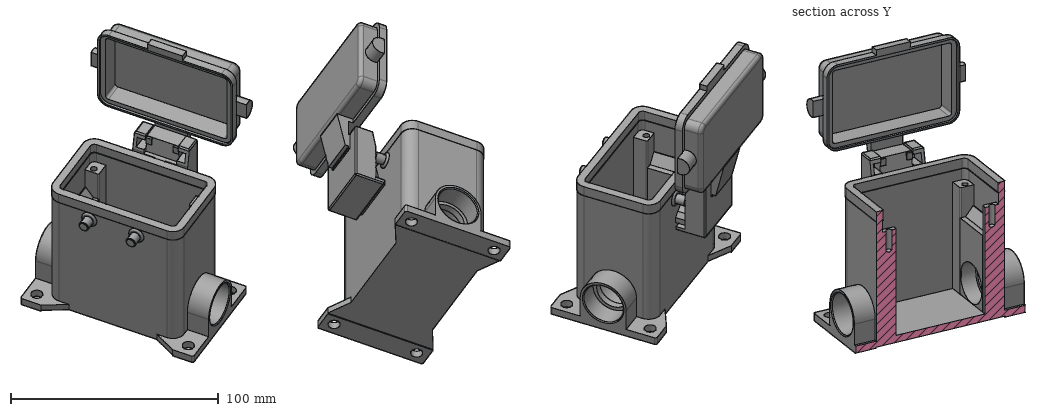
import cadquery as cq

HOUSING_X = 70.6
HOUSING_Y = 43.9
HOUSING_BOTTOM = 0.5
HOUSING_TOP = 73.2
HOUSING_CORNER = 6.2
WALL = 3.9
FLOOR = 4.0
RIM_HEIGHT = 5.5
RIM_LIP = 0.1
CAVITY_CORNER = 2.1
CAVITY_RELIEF = 0.4

POST_SIDE = 7.1
POST_TOP = 61.5
POST_HOLE_X = 28.4
POST_HOLE_Y = 13.5
POST_HOLE_DIAMETER = 3.1
POST_HOLE_DEPTH = 10.7
POST_HOLE_TIP = 1.0
POST_EDGE = 0.8
POST_OVERLAP = 1.1
BLOCK_SLOPE_TOP = 50.4
BLOCK_LEDGE = 45.5
BLOCK_SLOPE_X = 4.1

FOOT_LENGTH = 93.5
FOOT_WIDTH = 57.0
FOOT_THICKNESS = 4.0
FOOT_PAD_INNER = 35.6
FOOT_TIP_X = 23.7
FOOT_EDGE = 1.1
FOOT_HOLE_X = 40.9
FOOT_HOLE_Y = 22.3
FOOT_HOLE_DIAMETER = 5.8

ENTRY_Z = 15.2
ENTRY_RADIUS = 12.3
ENTRY_BORE_RADIUS = 8.7
ENTRY_SOCKET_RADIUS = 10.5
ENTRY_CHAMFER = 0.5
ENTRY_WEB_OUTER = 36.1
ENTRY_WEB_INNER = 32.6

PIN_X = 12.7
PIN_Z = 63.5
PIN_RADIUS = 2.5
PIN_TIP_Y = 28.4
PIN_TIP_CHAMFER = 0.4
COLLAR_RADIUS = 4.0
COLLAR_HEIGHT = 1.1
COLLAR_EDGE = 1.0

LID_Z = 107.8
LID_FRONT = 33.5
LID_BACK = 46.8
LID_X = 68.7
LID_Z_SIZE = 41.2
LID_CORNER = 4.0
LID_BACK_EDGE = 2.0
LID_RIM_DEPTH = 4.0
LID_RIM_WIDTH = 2.1
LID_RIM_HEIGHT = 2.4
LID_RIM_CORNER = 6.0
LID_LIP = 1.0
LID_SEAT_DEPTH = 1.3
LID_CAVITY_X = 65.5
LID_CAVITY_Z = 39.0
LID_CAVITY_CORNER = 1.5
LID_CAVITY_BACK = 44.8
TAB_WIDTH = 18.9
TAB_TOP = 133.8
LUG_RADIUS = 4.7
LUG_LENGTH = 83.9
LUG_BACK = 43.9

ARM_WIDTH = 17.7
ARM_BOTTOM = 68.6
ARM_ROOT_BACK = 46.1
ARM_TIP_BACK = 41.7
ARM_FRONT = 39.9
BRACKET_WIDTH = 29.7
BRACKET_BACK = 39.2
BRACKET_TOP = 77.8
BRACKET_BOTTOM = 45.9
BRACKET_TOP_FRONT = 30.1
BRACKET_FRONT = 28.2
BRACKET_SLOPE_END = 68.2
BRACKET_TOE = 23.5
BRACKET_EDGE = 0.7
EAR_WALL = 1.7
EAR_ROOF = 2.7
EAR_FLOOR = 69.8
EAR_DEPTH_END = 36.1
HOOK_TOP = 76.5
HOOK_TOP_FRONT = 31.5
HOOK_BOTTOM_FRONT = 30.4
HOOK_TOOTH_WIDTH = 3.0
HOOK_TOOTH_TOP = 76.2
HOOK_TOOTH_BOTTOM = 72.5
STEM_TOP = 67.4
STEM_BOTTOM = 48.2
STEM_HALF_TOP = 2.7
STEM_HALF_NECK = 5.1
STEM_NECK_Z = 59.1
STEM_HALF_FLARE = 9.9
STEM_FLARE_Z = 53.5
STEM_HALF_BASE = 12.0
STEM_BASE_Z = 51.1
STEM_CURVE_SAG = 0.7

SIDES = (1, -1)
CAVITY_X = HOUSING_X - 2 * WALL
CAVITY_Y = HOUSING_Y - 2 * WALL
RIM_BOTTOM = HOUSING_TOP - RIM_HEIGHT
CAVITY_FLOOR = HOUSING_BOTTOM + FLOOR


def box(x, y, z):
    """Box given by its (low, high) limits along each axis."""
    return cq.Workplane("XY").box(
        x[1] - x[0], y[1] - y[0], z[1] - z[0], centered=False
    ).translate((x[0], y[0], z[0]))


def rounded_block(length, width, bottom, top, corner):
    """Upright block centred on Z with rounded vertical edges."""
    block = cq.Workplane("XY").workplane(offset=bottom).rect(length, width).extrude(top - bottom)
    return block.edges("|Z").fillet(corner)


def lid_block(length, height, front, back, corner):
    """Block centred on the lid with edges along Y rounded."""
    plane = cq.Workplane("XZ", origin=(0, front, LID_Z))
    return plane.rect(length, height).extrude(front - back).edges("|Y").fillet(corner)


def both_sides(solid, plane):
    """The solid together with its mirror image in the given plane."""
    return solid.union(solid.mirror(plane))


def housing_shell():
    """Solid outside of the housing, with a slightly wider rim."""
    lower = rounded_block(HOUSING_X, HOUSING_Y, HOUSING_BOTTOM, RIM_BOTTOM, HOUSING_CORNER)
    rim = rounded_block(
        HOUSING_X + 2 * RIM_LIP,
        HOUSING_Y + 2 * RIM_LIP,
        RIM_BOTTOM,
        HOUSING_TOP,
        HOUSING_CORNER,
    )
    return lower.union(rim)


def foot():
    """Foot at +X: a thick pad, and two tapering wings that run back along the housing."""
    half_width = FOOT_WIDTH / 2
    half_length = FOOT_LENGTH / 2
    pad = box((FOOT_PAD_INNER, half_length), (-half_width, half_width), (0, FOOT_THICKNESS))
    pad = pad.edges("|Z and >X").fillet(FOOT_EDGE)
    wings = (
        cq.Workplane("XY")
        .workplane(offset=HOUSING_BOTTOM)
        .moveTo(FOOT_TIP_X, -HOUSING_Y / 2)
        .lineTo(FOOT_PAD_INNER, -half_width)
        .lineTo(FOOT_PAD_INNER, half_width)
        .lineTo(FOOT_TIP_X, HOUSING_Y / 2)
        .close()
        .extrude(FOOT_THICKNESS - HOUSING_BOTTOM)
    )
    holes = (
        cq.Workplane("XY")
        .pushPoints([(FOOT_HOLE_X, side * FOOT_HOLE_Y) for side in SIDES])
        .circle(FOOT_HOLE_DIAMETER / 2)
        .extrude(FOOT_THICKNESS)
    )
    return pad.union(wings).cut(holes)


def entry():
    """Round-topped cable entry from the +X wall to the end of the foot."""
    start = HOUSING_X / 2 - WALL
    end = FOOT_LENGTH / 2
    tube = cq.Workplane("YZ", origin=(start, 0, ENTRY_Z)).circle(ENTRY_RADIUS).extrude(end - start)
    return tube.union(box((start, end), (-ENTRY_RADIUS, ENTRY_RADIUS), (HOUSING_BOTTOM, ENTRY_Z)))


def entry_bore():
    """Bore of the +X cable entry: a socket on either side of a narrower web, open to the cavity."""
    end = FOOT_LENGTH / 2
    bore = cq.Workplane("YZ", origin=(0, 0, ENTRY_Z)).circle(ENTRY_BORE_RADIUS).extrude(end)
    outer_socket = (
        cq.Workplane("YZ", origin=(ENTRY_WEB_OUTER, 0, ENTRY_Z))
        .circle(ENTRY_SOCKET_RADIUS)
        .extrude(end - ENTRY_WEB_OUTER)
    )
    inner_socket = (
        cq.Workplane("YZ", origin=(0, 0, ENTRY_Z)).circle(ENTRY_SOCKET_RADIUS).extrude(ENTRY_WEB_INNER)
    )
    mouth = (
        cq.Workplane("YZ", origin=(end, 0, ENTRY_Z))
        .circle(ENTRY_SOCKET_RADIUS + ENTRY_CHAMFER)
        .workplane(offset=-ENTRY_CHAMFER)
        .circle(ENTRY_SOCKET_RADIUS)
        .loft()
    )
    return bore.union(outer_socket).union(inner_socket).union(mouth)


def cavity():
    """Open-topped cavity, a little wider below the rim."""
    opening = rounded_block(CAVITY_X, CAVITY_Y, CAVITY_FLOOR, HOUSING_TOP, CAVITY_CORNER)
    relief = rounded_block(
        CAVITY_X + 2 * CAVITY_RELIEF,
        CAVITY_Y + 2 * CAVITY_RELIEF,
        CAVITY_FLOOR,
        RIM_BOTTOM,
        CAVITY_CORNER + CAVITY_RELIEF,
    )
    return opening.union(relief)


def post():
    """Screw post in the +X +Y corner, sunk into the walls so that it fills the corner."""
    x_inner = CAVITY_X / 2 - POST_SIDE
    y_inner = CAVITY_Y / 2 - POST_SIDE
    x_outer = CAVITY_X / 2 + POST_OVERLAP
    y_outer = CAVITY_Y / 2 + POST_OVERLAP
    column = box((x_inner, x_outer), (y_inner, y_outer), (CAVITY_FLOOR, POST_TOP))
    column = column.edges("|Z and <X and <Y").fillet(POST_EDGE)
    hole = (
        cq.Workplane("XY", origin=(POST_HOLE_X, POST_HOLE_Y, POST_TOP))
        .circle(POST_HOLE_DIAMETER / 2)
        .extrude(-POST_HOLE_DEPTH)
    )
    tip_point = cq.Vector(POST_HOLE_X, POST_HOLE_Y, POST_TOP - POST_HOLE_DEPTH - POST_HOLE_TIP)
    tip = cq.Workplane(cq.Solid.makeCone(0, POST_HOLE_DIAMETER / 2, POST_HOLE_TIP, tip_point))
    return column.cut(hole).cut(tip)


def inner_block():
    """Block behind the +X cable entry, between the posts, sloping up to the wall."""
    half_width = CAVITY_Y / 2 - POST_SIDE
    wall = CAVITY_X / 2
    anchor = wall + POST_OVERLAP
    inner = wall - POST_SIDE
    return (
        cq.Workplane("XZ", origin=(0, half_width, 0))
        .moveTo(inner, CAVITY_FLOOR)
        .lineTo(inner, BLOCK_LEDGE)
        .lineTo(wall - BLOCK_SLOPE_X, BLOCK_LEDGE)
        .lineTo(wall, BLOCK_SLOPE_TOP)
        .lineTo(anchor, BLOCK_SLOPE_TOP)
        .lineTo(anchor, CAVITY_FLOOR)
        .close()
        .extrude(2 * half_width)
    )


def housing():
    """Hollow housing with feet, cable entries, posts and inner blocks."""
    body = housing_shell()
    body = body.union(both_sides(entry().union(foot()), "YZ"))
    fittings = both_sides(both_sides(post(), "XZ").union(inner_block()), "YZ")
    body = body.cut(cavity()).union(fittings)
    return body.cut(both_sides(entry_bore(), "YZ"))


def pins():
    """Four collared locking pins, two on each long wall."""
    face = HOUSING_Y / 2
    plane = cq.Workplane("XZ", origin=(0, -face, PIN_Z)).pushPoints([(side * PIN_X, 0) for side in SIDES])
    collars = plane.circle(COLLAR_RADIUS).extrude(COLLAR_HEIGHT)
    collars = collars.faces("<Y").edges().fillet(COLLAR_EDGE)
    shanks = plane.circle(PIN_RADIUS).extrude(PIN_TIP_Y - face)
    shanks = shanks.faces("<Y").edges().chamfer(PIN_TIP_CHAMFER)
    return both_sides(collars.union(shanks), "XZ")


def lid():
    """Hollow lid with its rim, finger tab, side lugs and hinge arm."""
    rim_x = LID_X + 2 * LID_RIM_WIDTH
    rim_z = LID_Z_SIZE + 2 * LID_RIM_HEIGHT
    rim_back = LID_FRONT + LID_RIM_DEPTH
    pan = lid_block(LID_X, LID_Z_SIZE, LID_FRONT, LID_BACK, LID_CORNER)
    pan = pan.faces(">Y").edges().fillet(LID_BACK_EDGE)
    rim = lid_block(rim_x, rim_z, LID_FRONT, rim_back, LID_RIM_CORNER)
    tab = box((-TAB_WIDTH / 2, TAB_WIDTH / 2), (LID_FRONT, rim_back), (LID_Z, TAB_TOP))
    lugs = (
        cq.Workplane("YZ", origin=(-LUG_LENGTH / 2, LUG_BACK - LUG_RADIUS, LID_Z))
        .circle(LUG_RADIUS)
        .extrude(LUG_LENGTH)
        .intersect(box((-LUG_LENGTH, LUG_LENGTH), (rim_back, LUG_BACK), (0, TAB_TOP)))
    )
    seat = lid_block(
        rim_x - 2 * LID_LIP,
        rim_z - 2 * LID_LIP,
        LID_FRONT,
        LID_FRONT + LID_SEAT_DEPTH,
        LID_RIM_CORNER - LID_LIP,
    )
    hollow = lid_block(LID_CAVITY_X, LID_CAVITY_Z, LID_FRONT, LID_CAVITY_BACK, LID_CAVITY_CORNER)
    return pan.union(rim).union(tab).union(lugs).union(arm()).cut(seat).cut(hollow)


def arm():
    """Tapered arm below the lid, lying against the back of the bracket."""
    half = ARM_WIDTH / 2
    lid_bottom = LID_Z - LID_Z_SIZE / 2
    rim_bottom = lid_bottom - LID_RIM_HEIGHT
    pan_inside = LID_Z - LID_CAVITY_Z / 2
    return (
        cq.Workplane("YZ", origin=(-half, 0, 0))
        .moveTo(LID_BACK - LID_BACK_EDGE, pan_inside)
        .lineTo(ARM_ROOT_BACK, lid_bottom)
        .lineTo(ARM_TIP_BACK, ARM_BOTTOM)
        .lineTo(BRACKET_BACK, ARM_BOTTOM)
        .lineTo(BRACKET_BACK, HOOK_TOP)
        .lineTo(ARM_FRONT, HOOK_TOP)
        .lineTo(ARM_FRONT, rim_bottom)
        .lineTo(LID_FRONT + LID_RIM_DEPTH, rim_bottom)
        .lineTo(LID_FRONT + LID_RIM_DEPTH, pan_inside)
        .close()
        .extrude(ARM_WIDTH)
    )


def hook():
    """Block at the end of the lid arm, with a sloping front face and a tooth at either end of it."""
    half = ARM_WIDTH / 2
    block = (
        cq.Workplane("YZ", origin=(-half, 0, 0))
        .moveTo(HOOK_BOTTOM_FRONT, STEM_TOP)
        .lineTo(HOOK_TOP_FRONT, HOOK_TOP)
        .lineTo(ARM_FRONT, HOOK_TOP)
        .lineTo(ARM_FRONT, STEM_TOP)
        .close()
        .extrude(ARM_WIDTH)
    )
    tooth = box(
        (half - HOOK_TOOTH_WIDTH, half),
        (HOOK_BOTTOM_FRONT, ARM_FRONT),
        (HOOK_TOOTH_BOTTOM, HOOK_TOOTH_TOP),
    )
    return block.union(both_sides(tooth, "YZ"))


def bracket():
    """Bracket with a toe, a hollow ear on either side and a slot for the hook between them."""
    half = BRACKET_WIDTH / 2
    solid = (
        cq.Workplane("YZ", origin=(-half, 0, 0))
        .moveTo(BRACKET_BACK, BRACKET_BOTTOM)
        .lineTo(BRACKET_BACK, BRACKET_TOP)
        .lineTo(BRACKET_TOP_FRONT, BRACKET_TOP)
        .lineTo(BRACKET_FRONT, BRACKET_SLOPE_END)
        .lineTo(BRACKET_FRONT, STEM_BOTTOM)
        .lineTo(BRACKET_TOE, STEM_BOTTOM)
        .lineTo(BRACKET_TOE, BRACKET_BOTTOM)
        .close()
        .extrude(BRACKET_WIDTH)
    )
    solid = solid.faces(">Y or >Z or <Z").edges().chamfer(BRACKET_EDGE)
    slot_half = ARM_WIDTH / 2
    slot = box((-slot_half, slot_half), (BRACKET_TOE, BRACKET_BACK), (STEM_TOP, BRACKET_TOP))
    ear_half = half - EAR_WALL
    ears = box((-ear_half, ear_half), (BRACKET_TOE, EAR_DEPTH_END), (EAR_FLOOR, BRACKET_TOP - EAR_ROOF))
    return solid.cut(slot).cut(ears).union(hook())


def stem():
    """Flared stem from the housing wall to the bracket."""
    mid_x = (STEM_HALF_NECK + STEM_HALF_FLARE) / 2 - STEM_CURVE_SAG
    mid_z = (STEM_NECK_Z + STEM_FLARE_Z) / 2 - STEM_CURVE_SAG
    face = HOUSING_Y / 2
    return (
        cq.Workplane("XZ", origin=(0, BRACKET_FRONT, 0))
        .moveTo(-STEM_HALF_TOP, STEM_TOP)
        .lineTo(STEM_HALF_TOP, STEM_TOP)
        .lineTo(STEM_HALF_NECK, STEM_NECK_Z)
        .threePointArc((mid_x, mid_z), (STEM_HALF_FLARE, STEM_FLARE_Z))
        .lineTo(STEM_HALF_BASE, STEM_BASE_Z)
        .lineTo(STEM_HALF_BASE, STEM_BOTTOM)
        .lineTo(-STEM_HALF_BASE, STEM_BOTTOM)
        .lineTo(-STEM_HALF_BASE, STEM_BASE_Z)
        .lineTo(-STEM_HALF_FLARE, STEM_FLARE_Z)
        .threePointArc((-mid_x, mid_z), (-STEM_HALF_NECK, STEM_NECK_Z))
        .close()
        .extrude(BRACKET_FRONT - face)
    )


result = housing().union(pins()).union(stem()).union(bracket()).union(lid())